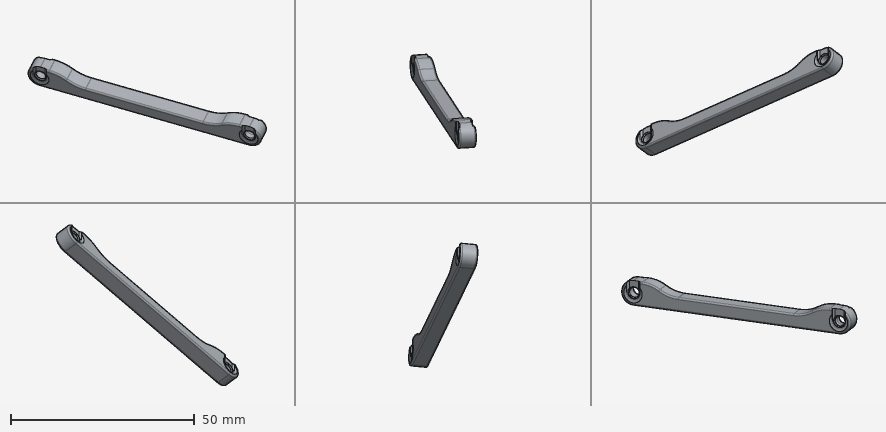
import cadquery as cq
import math

length = 68.0
thickness = 4.8
height = 7.0
edge_fillet = 0.5

end_radius = height / 2
hole_x = length / 2 - end_radius
hole_radius = 1.4

mouth_radius = 2.7
throat_radius = 2.0
floor_radius = 1.35
throat_depth = 0.3
floor_depth = 0.7

lead_radius = 1.7
lead_depth = 1.0

dip_depth = 3.0
dip_start_x = hole_x - 2.7
dip_end_x = hole_x - 13.4
dip_run = dip_start_x - dip_end_x
crest_run = 5.2

turn_angle = 2 * math.atan(dip_depth / dip_run)
crest_radius = crest_run / math.sin(turn_angle)
valley_radius = (dip_run - crest_run) / math.sin(turn_angle)
top_z = end_radius
middle_z = top_z - dip_depth


def crest_point(angle):
    """Point (x, z) on the right-hand crest arc after turning by angle."""
    return (
        dip_start_x - crest_radius * math.sin(angle),
        top_z - crest_radius * (1 - math.cos(angle)),
    )


def valley_point(angle):
    """Point (x, z) on the right-hand valley arc with angle left to turn."""
    return (
        dip_end_x + valley_radius * math.sin(angle),
        middle_z + valley_radius * (1 - math.cos(angle)),
    )


def mirrored(point):
    """The same point on the left half of the bar."""
    return (-point[0], point[1])


def make_bar():
    """Plain bar with rounded ends and a dipped top, its face edges rounded over."""
    crest_middle = crest_point(turn_angle / 2)
    inflection = crest_point(turn_angle)
    valley_middle = valley_point(turn_angle / 2)
    return (
        cq.Workplane("XZ")
        .moveTo(-hole_x, -end_radius)
        .lineTo(hole_x, -end_radius)
        .threePointArc((length / 2, 0), (hole_x, top_z))
        .lineTo(dip_start_x, top_z)
        .threePointArc(crest_middle, inflection)
        .threePointArc(valley_middle, (dip_end_x, middle_z))
        .lineTo(-dip_end_x, middle_z)
        .threePointArc(mirrored(valley_middle), mirrored(inflection))
        .threePointArc(mirrored(crest_middle), (-dip_start_x, top_z))
        .lineTo(-hole_x, top_z)
        .threePointArc((-length / 2, 0), (-hole_x, -end_radius))
        .close()
        .extrude(thickness / 2, both=True)
        .faces("<Y or >Y")
        .fillet(edge_fillet)
    )


def make_front_recess():
    """Stepped recess on the -Y face, centred on x = 0, with a slot running up out of the bar."""
    face_y = -thickness / 2
    throat_y = face_y + throat_depth
    floor_y = face_y + floor_depth
    cones = (
        cq.Workplane("XY")
        .moveTo(0, face_y)
        .lineTo(mouth_radius, face_y)
        .lineTo(throat_radius, throat_y)
        .lineTo(floor_radius, floor_y)
        .lineTo(0, floor_y)
        .close()
        .revolve(360, (0, 0, 0), (0, 1, 0))
    )
    lead_in = (
        cq.Workplane("XY")
        .moveTo(0, throat_y)
        .lineTo(lead_radius, throat_y)
        .lineTo(lead_radius, floor_y)
        .lineTo(hole_radius, face_y + lead_depth)
        .lineTo(0, face_y + lead_depth)
        .close()
        .revolve(360, (0, 0, 0), (0, 1, 0))
    )
    slot = (
        cq.Workplane("XY")
        .moveTo(-throat_radius, face_y)
        .lineTo(throat_radius, face_y)
        .lineTo(throat_radius, throat_y)
        .lineTo(floor_radius, floor_y)
        .lineTo(-floor_radius, floor_y)
        .lineTo(-throat_radius, throat_y)
        .close()
        .extrude(height)
    )
    return cones.union(lead_in).union(slot)


front_recess = make_front_recess()
back_recess = front_recess.mirror("XZ")
hole = cq.Workplane("XZ").circle(hole_radius).extrude(thickness, both=True)

result = make_bar()
for x in (-hole_x, hole_x):
    for cutter in (front_recess, back_recess, hole):
        result = result.cut(cutter.translate((x, 0, 0)))